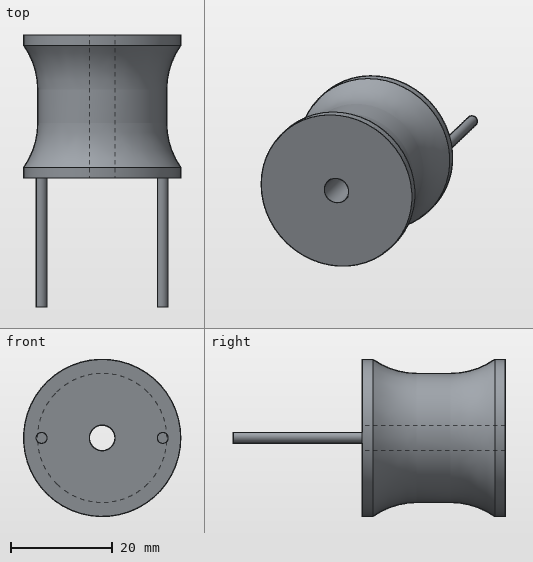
import cadquery as cq
import math

total_length = 53.6
pin_length = 25.4
flange_diameter = 31.0
flange_thickness = 2.1
waist_diameter = 25.45
waist_length = 6.65
bore_diameter = 5.0
pin_diameter = 2.15
pin_spacing = 23.85

body_length = total_length - pin_length
flange_radius = flange_diameter / 2
waist_radius = waist_diameter / 2
flare_length = (body_length - waist_length) / 2 - flange_thickness
flare_height = flange_radius - waist_radius

flare_radius = (flare_length**2 + flare_height**2) / (2 * flare_height)
half_angle = math.asin(flare_length / flare_radius) / 2
flare_mid_offset = flare_radius * math.sin(half_angle)
flare_mid_radius = waist_radius + flare_radius * (1 - math.cos(half_angle))

waist_start = flange_thickness + flare_length
waist_end = waist_start + waist_length
back_flange_start = body_length - flange_thickness


def make_body():
    """Flanged, waisted spool revolved about Y, with a through bore."""
    bore_radius = bore_diameter / 2
    profile = (
        cq.Workplane("XY")
        .moveTo(bore_radius, 0)
        .lineTo(flange_radius, 0)
        .lineTo(flange_radius, flange_thickness)
        .threePointArc((flare_mid_radius, waist_start - flare_mid_offset), (waist_radius, waist_start))
        .lineTo(waist_radius, waist_end)
        .threePointArc((flare_mid_radius, waist_end + flare_mid_offset), (flange_radius, back_flange_start))
        .lineTo(flange_radius, body_length)
        .lineTo(bore_radius, body_length)
        .close()
    )
    return profile.revolve(360, (0, 0, 0), (0, 1, 0))


def make_pins():
    """Two round pins extending toward -Y from the face at Y = 0."""
    return (
        cq.Workplane("XZ")
        .pushPoints([(-pin_spacing / 2, 0), (pin_spacing / 2, 0)])
        .circle(pin_diameter / 2)
        .extrude(pin_length)
    )


result = make_body().union(make_pins())